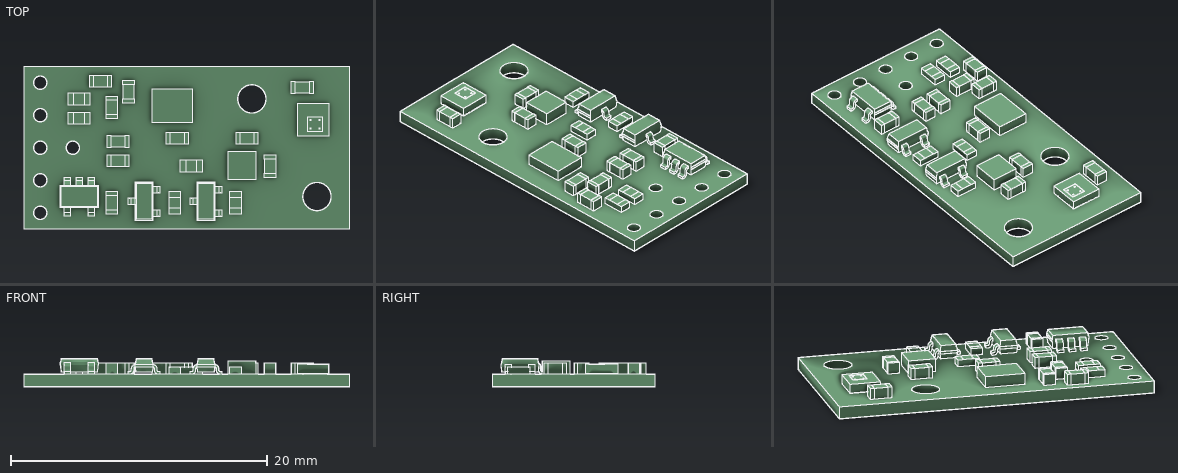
import cadquery as cq


BOARD_LENGTH = 25.4
BOARD_WIDTH = 12.7
BOARD_THICKNESS = 1.0
GRID = 2.55
GRID_MARGIN = GRID / 2
PIN_COUNT = 5
PIN_DIAMETER = 1.02
MOUNT_DIAMETER = 2.18
MOUNT_CENTRES = [(17.78, 10.15), (22.85, 2.55)]

CHIP_WIDTH = 0.91
CHIP_STEP = 0.013
CAPACITOR_LENGTH = 1.73
CAPACITOR_HEIGHT = 0.9
CAPACITOR_CAP = 0.3
RESISTOR_LENGTH = 1.75
RESISTOR_HEIGHT = 0.55
RESISTOR_CAP = 0.45
CAPACITORS_ALONG_X = [
    (5.97, 11.53), (7.35, 6.83), (7.35, 5.33), (11.96, 7.09), (17.4, 7.09), (21.72, 11.05),
]
CAPACITORS_ALONG_Y = [(8.15, 10.72), (6.85, 9.5), (6.85, 2.05), (19.2, 4.9)]
RESISTORS_ALONG_X = [(4.3, 10.15), (4.3, 8.65), (13.05, 4.93)]
RESISTORS_ALONG_Y = [(11.75, 2.05), (16.5, 2.05)]

BLOCKS = [((11.55, 9.63), 3.18, 2.6, 0.9), ((17.0, 4.98), 2.18, 2.18, 1.05)]

SENSOR_CENTRE = (22.55, 8.53)
SENSOR_LENGTH = 2.46
SENSOR_WIDTH = 2.51
SENSOR_HEIGHT = 0.8
SENSOR_GAP = 0.05
SENSOR_PAD_INSET = 0.13
WINDOW_CENTRE = (22.7, 8.18)
WINDOW_SIDE = 1.15
WINDOW_DEPTH = 0.03
DIMPLE_SIDE = 0.08
DIMPLE_SPACING = 0.69
DIMPLE_DEPTH = 0.03

LEAD_THICKNESS = 0.2
LEAD_WIDTH = 0.5
LEAD_BEND = 0.13
FOOT_LENGTH = 0.45
PACKAGE_TOP = 1.22
PACKAGE_CLEARANCE = 0.15
RIM_OVERHANG = 0.03
UPPER_DRAFT = 11.0
LOWER_DRAFT = 6.0
RIM_LENGTH = 3.0
FIVE_LEAD = {"width": 1.7, "span": 3.0, "lead_top": 0.91, "pitch": 0.95}
THREE_LEAD = {"width": 1.4, "span": 2.51, "lead_top": 0.75, "pitch": 0.91}
FIVE_LEAD_CENTRE = (4.32, 2.55)
THREE_LEAD_CENTRES = [(9.37, 2.15), (14.2, 2.15)]


def block(length, width, height, bottom=0.0):
    """Box centred on the Z axis, standing on the given level."""
    return cq.Workplane("XY").workplane(offset=bottom).rect(length, width).extrude(height)


def place(part, centre, angle=0.0):
    """Turn a component about Z and set it on the plate's top face."""
    turned = part.rotate((0, 0, 0), (0, 0, 1), angle)
    return turned.translate((centre[0], centre[1], BOARD_THICKNESS))


def make_board():
    board = cq.Workplane("XY").box(BOARD_LENGTH, BOARD_WIDTH, BOARD_THICKNESS, centered=False)
    pins = [(GRID_MARGIN, GRID_MARGIN + i * GRID) for i in range(PIN_COUNT)]
    pins.append((GRID_MARGIN + GRID, BOARD_WIDTH / 2))
    base = cq.Workplane("XY")
    pin_holes = base.pushPoints(pins).circle(PIN_DIAMETER / 2).extrude(BOARD_THICKNESS)
    mount_holes = base.pushPoints(MOUNT_CENTRES).circle(MOUNT_DIAMETER / 2).extrude(BOARD_THICKNESS)
    return board.cut(pin_holes).cut(mount_holes)


def make_capacitor():
    """Body set slightly inside the two end caps on the top and both sides."""
    body = block(CAPACITOR_LENGTH, CHIP_WIDTH - 2 * CHIP_STEP, CAPACITOR_HEIGHT - CHIP_STEP)
    cap = block(CAPACITOR_CAP, CHIP_WIDTH, CAPACITOR_HEIGHT)
    offset = (CAPACITOR_LENGTH - CAPACITOR_CAP) / 2
    return body.union(cap.translate((-offset, 0, 0))).union(cap.translate((offset, 0, 0)))


def make_resistor():
    """Flat chip whose middle stands slightly above the end caps."""
    chip = block(RESISTOR_LENGTH, CHIP_WIDTH, RESISTOR_HEIGHT - CHIP_STEP)
    return chip.union(block(RESISTOR_LENGTH - 2 * RESISTOR_CAP, CHIP_WIDTH, RESISTOR_HEIGHT))


def make_sensor():
    pad = block(SENSOR_LENGTH - 2 * SENSOR_PAD_INSET, SENSOR_WIDTH - 2 * SENSOR_PAD_INSET, SENSOR_GAP)
    sensor = pad.union(block(SENSOR_LENGTH, SENSOR_WIDTH, SENSOR_HEIGHT - SENSOR_GAP, SENSOR_GAP))
    shift = (WINDOW_CENTRE[0] - SENSOR_CENTRE[0], WINDOW_CENTRE[1] - SENSOR_CENTRE[1], 0)
    floor = SENSOR_HEIGHT - WINDOW_DEPTH
    window = block(WINDOW_SIDE, WINDOW_SIDE, WINDOW_DEPTH, floor)
    dimples = (
        cq.Workplane("XY", origin=(0, 0, floor))
        .rect(DIMPLE_SPACING, DIMPLE_SPACING, forConstruction=True)
        .vertices()
        .rect(DIMPLE_SIDE, DIMPLE_SIDE)
        .extrude(-DIMPLE_DEPTH)
    )
    sensor = sensor.cut(window.translate(shift)).cut(dimples.translate(shift))
    return sensor


def make_lead(span, lead_top):
    """Gull-wing lead reaching along +X from the package centre to the foot tip."""
    tip = span / 2
    inner = LEAD_BEND
    outer = LEAD_BEND + LEAD_THICKNESS
    foot_start = tip - FOOT_LENGTH
    upright = foot_start + LEAD_THICKNESS
    shoulder = lead_top - LEAD_THICKNESS
    profile = (
        cq.Workplane("XZ")
        .moveTo(0, lead_top)
        .lineTo(upright - outer, lead_top)
        .radiusArc((upright, lead_top - outer), outer)
        .lineTo(upright, outer)
        .radiusArc((upright + inner, LEAD_THICKNESS), -inner)
        .lineTo(tip, LEAD_THICKNESS)
        .lineTo(tip, 0)
        .lineTo(foot_start + outer, 0)
        .radiusArc((foot_start, outer), outer)
        .lineTo(foot_start, shoulder - inner)
        .radiusArc((foot_start - inner, shoulder), -inner)
        .lineTo(0, shoulder)
        .close()
    )
    return profile.extrude(LEAD_WIDTH / 2, both=True)


def make_leaded_package(size, right_rows, left_rows):
    """Moulded body, longest along Y, with leads at the given pitch rows on the +X and -X sides."""
    lead_top = size["lead_top"]
    lead_bottom = lead_top - LEAD_THICKNESS
    rim = block(size["width"], RIM_LENGTH, LEAD_THICKNESS, lead_bottom)
    body_length = RIM_LENGTH - 2 * RIM_OVERHANG
    upper = cq.Workplane("XY").workplane(offset=lead_top).rect(size["width"], body_length)
    lower = cq.Workplane("XY").workplane(offset=lead_bottom).rect(size["width"], body_length)
    package = rim.union(upper.extrude(PACKAGE_TOP - lead_top, taper=UPPER_DRAFT))
    package = package.union(lower.extrude(PACKAGE_CLEARANCE - lead_bottom, taper=LOWER_DRAFT))
    lead = make_lead(size["span"], lead_top)
    left_lead = lead.rotate((0, 0, 0), (0, 0, 1), 180)
    for row in right_rows:
        package = package.union(lead.translate((0, row * size["pitch"], 0)))
    for row in left_rows:
        package = package.union(left_lead.translate((0, row * size["pitch"], 0)))
    return package


capacitor = make_capacitor()
resistor = make_resistor()
five_lead = make_leaded_package(FIVE_LEAD, right_rows=(-1, 0, 1), left_rows=(-1, 1))
three_lead = make_leaded_package(THREE_LEAD, right_rows=(-1, 1), left_rows=(0,))

components = [place(capacitor, centre) for centre in CAPACITORS_ALONG_X]
components += [place(capacitor, centre, 90) for centre in CAPACITORS_ALONG_Y]
components += [place(resistor, centre) for centre in RESISTORS_ALONG_X]
components += [place(resistor, centre, 90) for centre in RESISTORS_ALONG_Y]
components += [place(block(length, width, height), centre) for centre, length, width, height in BLOCKS]
components.append(place(make_sensor(), SENSOR_CENTRE))
components.append(place(five_lead, FIVE_LEAD_CENTRE, 90))
components += [place(three_lead, centre) for centre in THREE_LEAD_CENTRES]

result = make_board()
for component in components:
    result = result.union(component)